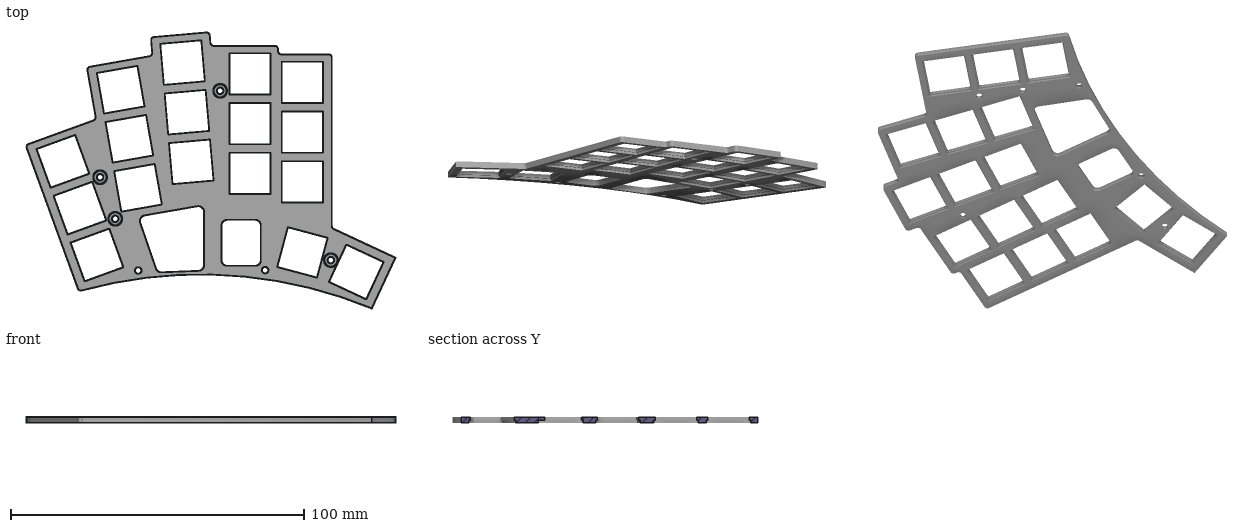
import cadquery as cq
import math

thickness = 2.0
key_hole = 14.0
row_pitch = 17.0
column_pitch = 17.9
keys_per_column = 3
key_lip = 1.3
key_relief = 0.5

side_reach = 10.0
end_reach = 9.5
index_side_reach = 9.5
thumb_top_reach = 10.0
thumb_bottom_reach = 9.0

pinky = (18.2, 34.1, 20)
ring = (35.1, 57.7, 10)
middle = (54.7, 66.8, 5)
index = (76.2, 62.9, 0)
inner = (index[0] + column_pitch, index[1] - 2.9, 0)
columns = [pinky, ring, middle, index, inner]

near_thumb = (inner[0], 19.0, -15)
far_thumb = (112.5, 12.3, -25)

lower_edge_radius = 152.9
corner_radius = 1.1

screw_diameter = 2.1
head_diameter = 4.4
head_chamfer = 0.19
head_depth = 0.6
pinky_screw_offset = (10.0, 7.5)
thumb_screw_offset = 9.5
upper_screw = (66.0, 74.1)
plain_holes = [(38.1, 12.8), (81.4, 13.0)]

window_radius = 1.9
wide_window = [(38.1, 31.2), (60.5, 35.1), (60.5, 12.8), (44.6, 12.2)]
small_window_centre = (73.2, 22.3)
small_window_size = (13.3, 15.6)


def place(frame, across, along):
    """Point at the given offsets in a key's own tilted axes."""
    x, y, tilt = frame
    c = math.cos(math.radians(tilt))
    s = math.sin(math.radians(tilt))
    return (x + across * c - along * s, y + across * s + along * c)


def meet(point_a, tilt_a, point_b, tilt_b):
    """Crossing of two lines, each given by a point and a direction in degrees."""
    ax, ay = math.cos(math.radians(tilt_a)), math.sin(math.radians(tilt_a))
    bx, by = math.cos(math.radians(tilt_b)), math.sin(math.radians(tilt_b))
    dx, dy = point_b[0] - point_a[0], point_b[1] - point_a[1]
    distance = (dx * by - dy * bx) / (ax * by - ay * bx)
    return (point_a[0] + distance * ax, point_a[1] + distance * ay)


def top_corner(column, side):
    """Upper plate corner of a column; side is -1 for left, 1 for right."""
    return place(column, side * side_reach, row_pitch + end_reach)


def make_plate():
    pinky_bottom = place(pinky, -side_reach, -row_pitch - end_reach)
    pinky_top = top_corner(pinky, -1)
    ring_top = top_corner(ring, -1)
    middle_left = top_corner(middle, -1)
    middle_right = top_corner(middle, 1)
    inner_top = top_corner(inner, 1)
    index_top = top_corner(index, 1)
    index_right = (index[0] + index_side_reach, index_top[1])
    thumb_top = place(far_thumb, side_reach, thumb_top_reach)
    thumb_bottom = place(far_thumb, side_reach, -thumb_bottom_reach)

    rounded = [
        pinky_bottom,
        pinky_top,
        meet(pinky_top, pinky[2], ring_top, ring[2] + 90),
        ring_top,
        meet(ring_top, ring[2], middle_left, middle[2] + 90),
        middle_left,
        middle_right,
        meet(middle_right, middle[2] + 90, index_top, index[2]),
        index_right,
        (index_right[0], inner_top[1]),
        inner_top,
        meet(inner_top, 90, thumb_top, far_thumb[2]),
    ]
    plate = (
        cq.Workplane("XY")
        .polyline(rounded + [thumb_top, thumb_bottom])
        .radiusArc(pinky_bottom, -lower_edge_radius)
        .close()
        .extrude(thickness)
    )
    for x, y in rounded:
        corner = cq.selectors.NearestToPointSelector((x, y, thickness / 2))
        plate = plate.edges("|Z").edges(corner).fillet(corner_radius)
    return plate


def key_cutter(frame, along=0):
    """Square switch cutout, widened on the underside below a retaining lip."""
    x, y = place(frame, 0, along)
    relief_side = key_hole + 2 * key_relief
    hole = cq.Workplane("XY").rect(key_hole, key_hole).extrude(thickness)
    relief = cq.Workplane("XY").rect(relief_side, relief_side).extrude(thickness - key_lip)
    cutter = hole.union(relief)
    return cutter.rotate((0, 0, 0), (0, 0, 1), frame[2]).translate((x, y, 0))


def cut_keys(plate):
    for column in columns:
        for row in range(keys_per_column):
            along = (row - (keys_per_column - 1) / 2) * row_pitch
            plate = plate.cut(key_cutter(column, along))
    for thumb in (near_thumb, far_thumb):
        plate = plate.cut(key_cutter(thumb))
    return plate


def cut_windows(plate):
    wide = cq.Workplane("XY").polyline(wide_window).close().extrude(thickness)
    small = (
        cq.Workplane("XY")
        .center(*small_window_centre)
        .rect(*small_window_size)
        .extrude(thickness)
    )
    for window in (wide, small):
        plate = plate.cut(window.edges("|Z").fillet(window_radius))
    return plate


def cut_screw_holes(plate):
    across, along = pinky_screw_offset
    head_points = [
        upper_screw,
        place(pinky, across, along),
        place(pinky, across, -along),
        place(far_thumb, -thumb_screw_offset, 0),
    ]
    top = cq.Workplane("XY").workplane(offset=thickness)
    heads = top.pushPoints(head_points).circle(head_diameter / 2).extrude(-head_depth)
    holes = top.pushPoints(head_points + plain_holes).circle(screw_diameter / 2).extrude(-thickness)
    rims = (
        top.pushPoints(head_points)
        .circle(head_diameter / 2 + head_chamfer)
        .extrude(-head_chamfer, taper=45)
    )
    return plate.cut(heads).cut(rims).cut(holes)


result = cut_screw_holes(cut_windows(cut_keys(make_plate())))